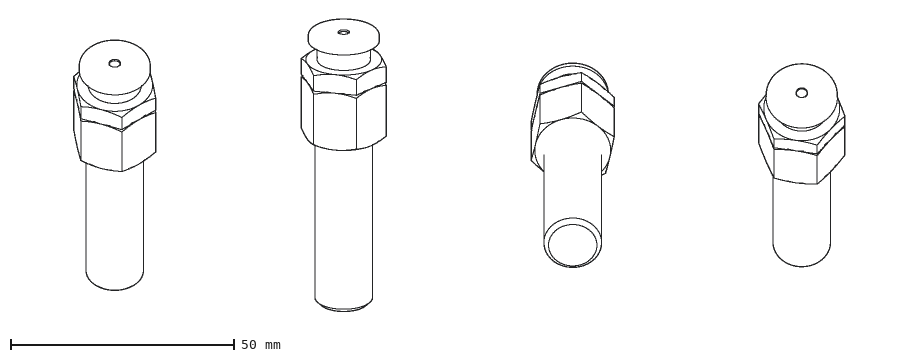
import cadquery as cq
import math

total_height = 66.2
flange_bottom = 64.15
locknut_top = 59.45
body_top = 54.9
body_bottom = 40.9
shank_top = 39.2

across_flats = 17.0
across_corners = across_flats * 2 / math.sqrt(3)
hex_chamfer_angle = 30.0

shank_diameter = 13.0
shank_chamfer = 1.05
collar_fillet = body_bottom - shank_top
neck_diameter = 12.0
flange_diameter = 16.0
flange_fillet = 1.0
ball_hole_diameter = 2.5
ball_diameter = 4.0


def cylinder(diameter, bottom, top):
    """Round section about the Z axis."""
    return cq.Workplane("XY", origin=(0, 0, bottom)).circle(diameter / 2).extrude(top - bottom)


def hexagon(bottom, top, chamfer_bottom):
    """Hexagonal section whose corners are turned off to a cone at the chosen ends."""
    face_radius = across_flats / 2
    corner_radius = across_corners / 2
    drop = (corner_radius - face_radius) * math.tan(math.radians(hex_chamfer_angle))
    prism = (
        cq.Workplane("XY", origin=(0, 0, bottom))
        .polygon(6, across_corners)
        .extrude(top - bottom)
    )
    envelope = cylinder(across_corners, bottom, top)
    envelope = envelope.faces(">Z").chamfer(drop, corner_radius - face_radius)
    if chamfer_bottom:
        envelope = envelope.faces("<Z").chamfer(drop, corner_radius - face_radius)
    return prism.intersect(envelope)


shank = cylinder(shank_diameter, 0, body_bottom).faces("<Z").chamfer(shank_chamfer)

shank_radius = shank_diameter / 2
collar_radius = shank_radius + collar_fillet
arc_offset = collar_fillet * (1 - math.sqrt(0.5))
collar = (
    cq.Workplane("XZ")
    .moveTo(0, shank_top)
    .lineTo(shank_radius, shank_top)
    .threePointArc((shank_radius + arc_offset, body_bottom - arc_offset), (collar_radius, body_bottom))
    .lineTo(0, body_bottom)
    .close()
    .revolve(360, (0, 0, 0), (0, 1, 0))
)

body = hexagon(body_bottom, body_top, chamfer_bottom=True)
locknut = hexagon(body_top, locknut_top, chamfer_bottom=False)

neck = cylinder(neck_diameter, locknut_top, flange_bottom)
flange = cylinder(flange_diameter, flange_bottom, total_height).faces(">Z").edges().fillet(flange_fillet)

ball_radius = ball_diameter / 2
ball_hole_radius = ball_hole_diameter / 2
ball_exposed_height = ball_radius - math.sqrt(ball_radius**2 - ball_hole_radius**2)
ball = cq.Workplane("XY", origin=(0, 0, total_height - ball_radius)).sphere(ball_radius)
ball_hole = cylinder(ball_hole_diameter, total_height - ball_exposed_height, total_height).cut(ball)

result = shank.union(collar).union(body).union(locknut).union(neck).union(flange).cut(ball_hole)